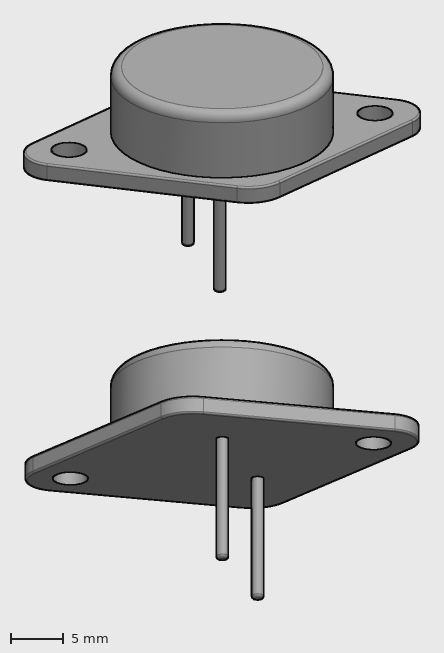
import cadquery as cq
import math

FLANGE_LENGTH = 38.85
FLANGE_WIDTH = 26.0
FLANGE_THICKNESS = 1.75
END_RADIUS = 3.0
SIDE_RADIUS = 4.0
FLANGE_EDGE_FILLET = 0.2

HOLE_DIAMETER = 3.35
HOLE_SPACING = 30.15

CAN_DIAMETER = 21.1
CAN_HEIGHT = 6.75
CAN_TOP_FILLET = 1.0

PIN_DIAMETER = 1.15
PIN_LENGTH = 12.2
PIN_SPACING = 10.92
PIN_OFFSET_Y = -1.8
PIN_TIP_FILLET = 0.3


def make_flange():
    end_center = FLANGE_LENGTH / 2 - END_RADIUS
    side_center = FLANGE_WIDTH / 2 - SIDE_RADIUS

    center_distance = math.hypot(side_center, end_center)
    normal_angle = math.atan2(side_center, end_center) + math.asin(
        (SIDE_RADIUS - END_RADIUS) / center_distance
    )
    normal_x = math.cos(normal_angle)
    normal_y = math.sin(normal_angle)

    side_x = side_center + SIDE_RADIUS * normal_x
    side_y = SIDE_RADIUS * normal_y
    end_x = END_RADIUS * normal_x
    end_y = end_center + END_RADIUS * normal_y

    outline = (
        cq.Workplane("XY")
        .moveTo(side_x, side_y)
        .lineTo(end_x, end_y)
        .threePointArc((0, FLANGE_LENGTH / 2), (-end_x, end_y))
        .lineTo(-side_x, side_y)
        .threePointArc((-FLANGE_WIDTH / 2, 0), (-side_x, -side_y))
        .lineTo(-end_x, -end_y)
        .threePointArc((0, -FLANGE_LENGTH / 2), (end_x, -end_y))
        .lineTo(side_x, -side_y)
        .threePointArc((FLANGE_WIDTH / 2, 0), (side_x, side_y))
        .close()
    )
    flange = outline.extrude(FLANGE_THICKNESS)
    flange = flange.faces("<Z or >Z").edges().fillet(FLANGE_EDGE_FILLET)
    holes = (
        cq.Workplane("XY")
        .pushPoints([(0, HOLE_SPACING / 2), (0, -HOLE_SPACING / 2)])
        .circle(HOLE_DIAMETER / 2)
        .extrude(FLANGE_THICKNESS)
    )
    return flange.cut(holes)


def make_can():
    can = (
        cq.Workplane("XY")
        .workplane(offset=FLANGE_THICKNESS)
        .circle(CAN_DIAMETER / 2)
        .extrude(CAN_HEIGHT)
    )
    return can.faces(">Z").edges().fillet(CAN_TOP_FILLET)


def make_pins():
    pins = (
        cq.Workplane("XY")
        .pushPoints([(-PIN_SPACING / 2, PIN_OFFSET_Y), (PIN_SPACING / 2, PIN_OFFSET_Y)])
        .circle(PIN_DIAMETER / 2)
        .extrude(-PIN_LENGTH)
    )
    return pins.faces("<Z").edges().fillet(PIN_TIP_FILLET)


result = make_flange().union(make_can()).union(make_pins())